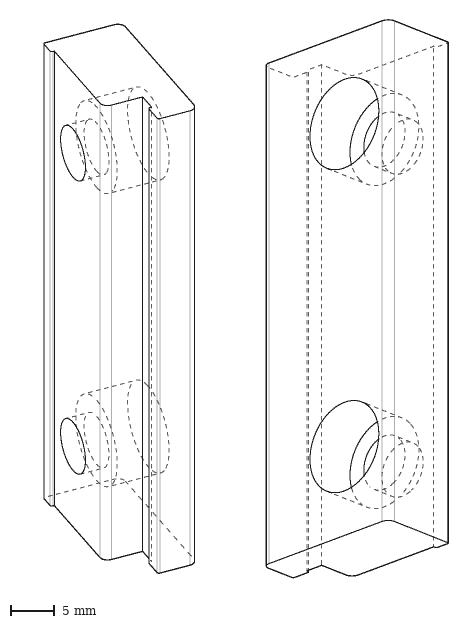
import cadquery as cq

width = 20.0
depth = 10.0
length = 62.0

body_width = 15.05
flange_thickness = 5.0
corner_radius = 1.0

lip_height = 0.45
lip_width = 2.05
flange_lip_width = 2.6
lip_radius = 0.25

hole_diameter = 6.6
counterbore_diameter = 11.0
counterbore_depth = 6.6
hole_x = 7.0
hole_spacing = 40.0

flange_front = depth - flange_thickness
flange_lip_start = width - flange_lip_width


def make_profile_bar():
    """Extrude the stepped cross-section along Z, then soften its long edges."""
    bar = (
        cq.Workplane("XY")
        .moveTo(0, 0)
        .lineTo(lip_width, 0)
        .lineTo(lip_width, lip_height)
        .lineTo(body_width, lip_height)
        .lineTo(body_width, flange_front + lip_height)
        .lineTo(flange_lip_start, flange_front + lip_height)
        .lineTo(flange_lip_start, flange_front)
        .lineTo(width, flange_front)
        .lineTo(width, depth)
        .lineTo(0, depth)
        .close()
        .extrude(length)
    )
    rounded_corners = [(0, depth), (width, depth), (body_width, lip_height)]
    lip_corners = [
        (0, 0),
        (lip_width, 0),
        (flange_lip_start, flange_front),
        (width, flange_front),
    ]
    for x, y in rounded_corners:
        bar = bar.edges(cq.NearestToPointSelector((x, y, length / 2))).fillet(corner_radius)
    for x, y in lip_corners:
        bar = bar.edges(cq.NearestToPointSelector((x, y, length / 2))).fillet(lip_radius)
    return bar


def drill_screw_holes(bar):
    """Cut the two through holes, counterbored from the back (+Y) face."""
    back_plane = cq.Plane(origin=(hole_x, depth, length / 2), xDir=(-1, 0, 0), normal=(0, 1, 0))
    half_spacing = hole_spacing / 2
    hole_centers = [(0, -half_spacing), (0, half_spacing)]
    holes = cq.Workplane(back_plane).pushPoints(hole_centers)
    through_holes = holes.circle(hole_diameter / 2).extrude(-depth)
    counterbores = holes.circle(counterbore_diameter / 2).extrude(-counterbore_depth)
    return bar.cut(through_holes).cut(counterbores)


result = drill_screw_holes(make_profile_bar())